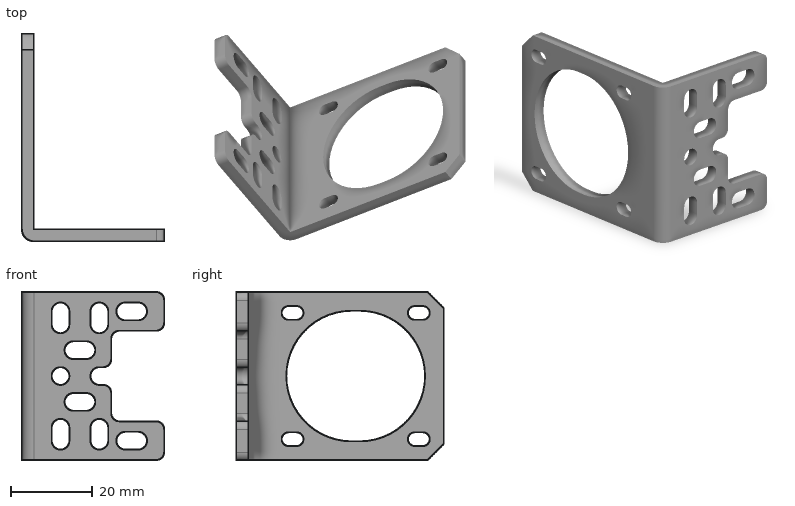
import cadquery as cq

sheet_thickness = 3.0
flange_length = 35.0
plate_length = 51.0
height = 41.3
mid_z = height / 2

corner_chamfer = 4.0
adjustment_travel = 2.0
bore_diameter = 32.0
screw_diameter = 3.3
screw_spacing = 31.0
motor_center_y = plate_length - height / 2 - adjustment_travel / 2

hole_pitch = 9.525
hole_diameter = 4.3
slot_travel = 3.175
slot_length = hole_diameter + slot_travel
outer_slot_spacing = 3 * hole_pitch
inner_slot_x = 1.5 * hole_pitch
inner_slot_spacing = 12.7
arm_slot_x = 27.0
arm_slot_spacing = 31.75
arm_width = height - arm_slot_spacing
recess_x = 22.0
edge_radius = 2.0


def bent_sheet():
    """L-shaped sheet, rounded outside the bend and sharp inside it."""
    return (
        cq.Workplane("XY")
        .moveTo(sheet_thickness, 0)
        .lineTo(flange_length, 0)
        .lineTo(flange_length, sheet_thickness)
        .lineTo(sheet_thickness, sheet_thickness)
        .lineTo(sheet_thickness, plate_length)
        .lineTo(0, plate_length)
        .lineTo(0, sheet_thickness)
        .radiusArc((sheet_thickness, 0), -sheet_thickness)
        .close()
        .extrude(height)
        .edges("|X and >Y")
        .chamfer(corner_chamfer)
    )


def plate_cutter(center_y, center_z, diameter):
    """Slot along Y through the motor plate, long enough for the adjustment travel."""
    return (
        cq.Workplane("YZ")
        .center(center_y, center_z)
        .slot2D(diameter + adjustment_travel, diameter)
        .extrude(sheet_thickness)
    )


def flange_plane():
    """Work plane on the outer flange face; a negative extrusion goes into the sheet."""
    return cq.Workplane("XZ")


def flange_slot(center_x, center_z, angle):
    """Slot through the flange: angle 0 lies along X, angle 90 along Z."""
    return (
        flange_plane()
        .center(center_x, center_z)
        .slot2D(slot_length, hole_diameter, angle)
        .extrude(-sheet_thickness)
    )


def flange_hole(center_x):
    """Round hole through the flange at mid height."""
    return (
        flange_plane()
        .center(center_x, mid_z)
        .circle(hole_diameter / 2)
        .extrude(-sheet_thickness)
    )


def flange_opening(start_x, end_x, width):
    """Rectangular opening through the flange, centred on mid height."""
    return (
        flange_plane()
        .center((start_x + end_x) / 2, mid_z)
        .rect(end_x - start_x, width)
        .extrude(-sheet_thickness)
    )


def recessed_flange(body):
    """Cut the recess between the arms and its round-ended notch, with all corners rounded."""
    notch_center_x = 2 * hole_pitch
    body = body.cut(flange_opening(recess_x, flange_length, height - 2 * arm_width))
    body = body.cut(flange_opening(notch_center_x, recess_x, hole_diameter))
    margin = 0.1
    corner_zone = cq.selectors.BoxSelector(
        (recess_x - margin, -margin, -margin),
        (flange_length + margin, sheet_thickness + margin, height + margin),
    )
    body = body.edges("|Y").edges(corner_zone).fillet(edge_radius)
    return body.cut(flange_hole(notch_center_x))


result = recessed_flange(bent_sheet())

result = result.cut(plate_cutter(motor_center_y, mid_z, bore_diameter))
for side_y in (-1, 1):
    for side_z in (-1, 1):
        screw_y = motor_center_y + side_y * screw_spacing / 2
        screw_z = mid_z + side_z * screw_spacing / 2
        result = result.cut(plate_cutter(screw_y, screw_z, screw_diameter))

for side in (-1, 1):
    outer_z = mid_z + side * outer_slot_spacing / 2
    inner_z = mid_z + side * inner_slot_spacing / 2
    arm_z = mid_z + side * arm_slot_spacing / 2
    result = result.cut(flange_slot(hole_pitch, outer_z, 90))
    result = result.cut(flange_slot(2 * hole_pitch, outer_z, 90))
    result = result.cut(flange_slot(inner_slot_x, inner_z, 0))
    result = result.cut(flange_slot(arm_slot_x, arm_z, 0))

result = result.cut(flange_hole(hole_pitch))